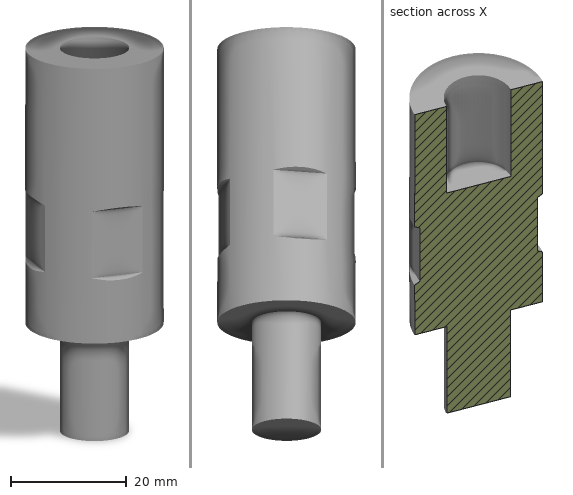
import cadquery as cq

total_length = 69.5
stem_length = 19.6
body_diameter = 24.0
stem_diameter = 12.0
bore_diameter = 12.0
bore_depth = 19.6
across_flats = 22.0
flat_bottom = 31.5
flat_top = 43.5
end_rise = 0.55

body_radius = body_diameter / 2
flat_distance = across_flats / 2


def flat_cutter():
    """Trapezoidal prism that mills one flat with sloped ends on the +X side."""
    return (
        cq.Workplane("XZ")
        .moveTo(flat_distance, flat_bottom)
        .lineTo(body_radius, flat_bottom - end_rise)
        .lineTo(body_radius, flat_top + end_rise)
        .lineTo(flat_distance, flat_top)
        .close()
        .extrude(body_radius, both=True)
    )


stem = cq.Workplane("XY").circle(stem_diameter / 2).extrude(stem_length)
body = (
    cq.Workplane("XY")
    .workplane(offset=stem_length)
    .circle(body_radius)
    .extrude(total_length - stem_length)
)
result = stem.union(body)

bore = (
    cq.Workplane("XY")
    .workplane(offset=total_length - bore_depth)
    .circle(bore_diameter / 2)
    .extrude(bore_depth)
)
result = result.cut(bore)

for angle in (0, 90, 180, 270):
    result = result.cut(flat_cutter().rotate((0, 0, 0), (0, 0, 1), angle))